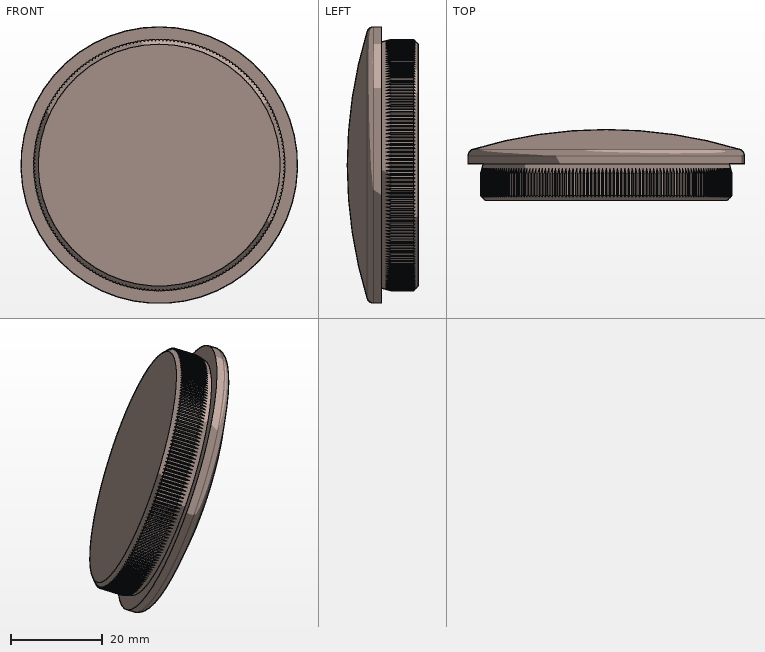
import cadquery as cq
import math


COVER_DIAMETER = 60.3
TOTAL_HEIGHT = 15.5
DOME_RADIUS = 100.0
COVER_FILLET = 1.5

PLUG_HEIGHT = 8.0
PLUG_DIAMETER = 54.8
PLUG_CHAMFER = 1.05
NECK_DIAMETER = 53.7
NECK_TAPER_DEGREES = 15.0

GROOVE_COUNT = 210
GROOVE_WIDTH = 0.4
GROOVE_ANGLE_DEGREES = 70.0

COVER_RADIUS = COVER_DIAMETER / 2
PLUG_RADIUS = PLUG_DIAMETER / 2
NECK_RADIUS = NECK_DIAMETER / 2
GROOVE_DEPTH = GROOVE_WIDTH / 2 / math.tan(math.radians(GROOVE_ANGLE_DEGREES / 2))
ROOT_RADIUS = PLUG_RADIUS - GROOVE_DEPTH
TAPER_LENGTH = (PLUG_RADIUS - NECK_RADIUS) / math.tan(math.radians(NECK_TAPER_DEGREES))


def make_cover():
    """Revolve the domed cover; a fillet blends its rim into the dome."""
    dome_center_y = TOTAL_HEIGHT - DOME_RADIUS
    fillet_center_radius = COVER_RADIUS - COVER_FILLET
    center_distance = DOME_RADIUS - COVER_FILLET
    dome_edge_angle = math.asin(fillet_center_radius / center_distance)
    fillet_center_y = dome_center_y + center_distance * math.cos(dome_edge_angle)

    def dome_point(angle):
        return (DOME_RADIUS * math.sin(angle), dome_center_y + DOME_RADIUS * math.cos(angle))

    fillet_mid_angle = (dome_edge_angle + math.pi / 2) / 2
    fillet_mid = (
        fillet_center_radius + COVER_FILLET * math.sin(fillet_mid_angle),
        fillet_center_y + COVER_FILLET * math.cos(fillet_mid_angle),
    )
    profile = (
        cq.Workplane("ZY")
        .moveTo(0, PLUG_HEIGHT)
        .lineTo(COVER_RADIUS, PLUG_HEIGHT)
        .lineTo(COVER_RADIUS, fillet_center_y)
        .threePointArc(fillet_mid, dome_point(dome_edge_angle))
        .threePointArc(dome_point(dome_edge_angle / 2), (0, TOTAL_HEIGHT))
        .close()
    )
    return profile.revolve(360, (0, 0), (0, 1))


def make_plug_blank():
    """Revolve the plug: chamfered free end, and a taper down to the neck under the cover."""
    profile = cq.Workplane("ZY").polyline(
        [
            (0, 0),
            (PLUG_RADIUS - PLUG_CHAMFER, 0),
            (PLUG_RADIUS, PLUG_CHAMFER),
            (PLUG_RADIUS, PLUG_HEIGHT - TAPER_LENGTH),
            (NECK_RADIUS, PLUG_HEIGHT),
            (0, PLUG_HEIGHT),
        ]
    ).close()
    return profile.revolve(360, (0, 0), (0, 1))


def make_knurl_prism():
    """Extrude the plug's outline: V-grooves between round crests, the first groove on the +Z axis."""
    pitch_angle = 2 * math.pi / GROOVE_COUNT
    half_groove_angle = math.asin(GROOVE_WIDTH / 2 / PLUG_RADIUS)

    def polar_point(radius, angle):
        return (radius * math.sin(angle), radius * math.cos(angle))

    outline = cq.Workplane("XZ").moveTo(*polar_point(ROOT_RADIUS, 0))
    for groove in range(GROOVE_COUNT):
        root_angle = pitch_angle * groove
        next_root_angle = root_angle + pitch_angle
        crest_start = polar_point(PLUG_RADIUS, root_angle + half_groove_angle)
        crest_middle = polar_point(PLUG_RADIUS, root_angle + pitch_angle / 2)
        crest_end = polar_point(PLUG_RADIUS, next_root_angle - half_groove_angle)
        outline = outline.lineTo(*crest_start).threePointArc(crest_middle, crest_end)
        if groove < GROOVE_COUNT - 1:
            outline = outline.lineTo(*polar_point(ROOT_RADIUS, next_root_angle))
    return outline.close().extrude(-PLUG_HEIGHT)


plug = make_plug_blank().intersect(make_knurl_prism())
result = make_cover().union(plug)